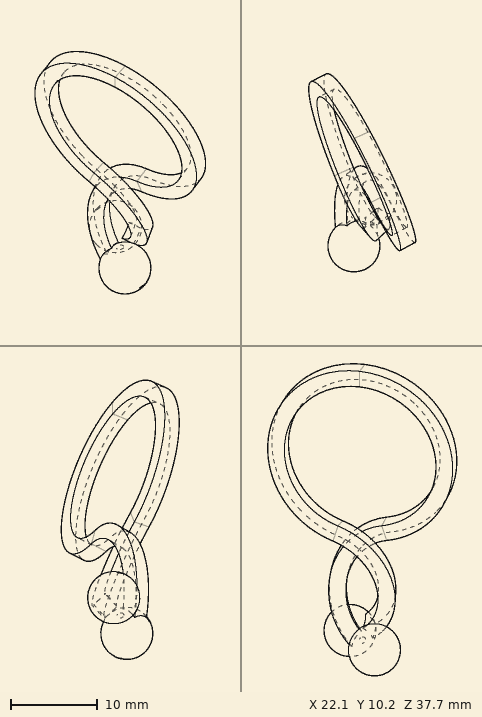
import cadquery as cq
import math

OVERALL_HEIGHT = 37.65
OVERALL_DEPTH = 10.15

WIRE = 2.0
RING_RADIUS = 9.98
RING_SWEEP = math.radians(165)
RING_OFFSET = 1.13

TAIL_RADIUS = 7.5
TAIL_SWEEP = math.radians(135)
TAIL_END_Y = -2.1
SWING_ANGLE = math.radians(110)

BALL_RADIUS = 3.0
BALL_X = 2.15
BALL_Y = BALL_RADIUS - OVERALL_DEPTH / 2
BALL_Z = RING_RADIUS + WIRE / 2 + BALL_RADIUS - OVERALL_HEIGHT

PATH_STEPS = 12

RING_LENGTH = RING_RADIUS * RING_SWEEP
RING_SLOPE = RING_OFFSET / RING_LENGTH
TAIL_LENGTH = TAIL_RADIUS * TAIL_SWEEP
TAIL_DRIFT = RING_SLOPE * TAIL_LENGTH
SWING_HEIGHT = (TAIL_END_Y - RING_OFFSET - TAIL_DRIFT) / (1 - math.cos(SWING_ANGLE))


def ring_point(t):
    """Point on the helical half ring, t = 0 at the top and 1 at the joint."""
    angle = RING_SWEEP * t
    return cq.Vector(RING_RADIUS * math.sin(angle), RING_OFFSET * t, RING_RADIUS * math.cos(angle))


def tail_point(t):
    """Point on the tail, t = 0 at the joint; Y starts with the ring slope, then swings back."""
    centre_distance = RING_RADIUS + TAIL_RADIUS
    angle = RING_SWEEP - TAIL_SWEEP * t
    x = centre_distance * math.sin(RING_SWEEP) - TAIL_RADIUS * math.sin(angle)
    y = RING_OFFSET + TAIL_DRIFT * t + SWING_HEIGHT * (1 - math.cos(SWING_ANGLE * t))
    z = centre_distance * math.cos(RING_SWEEP) - TAIL_RADIUS * math.cos(angle)
    return cq.Vector(x, y, z)


def travel_rate(angle, length, y_rate):
    """Rate of travel along the path where the XZ heading has turned by angle from +X."""
    return cq.Vector(length * math.cos(angle), y_rate, -length * math.sin(angle))


def smooth_edge(point, start_rate, end_rate):
    """Edge through point(t) for t from 0 to 1, leaving and arriving at the given rates."""
    steps = [i / PATH_STEPS for i in range(PATH_STEPS + 1)]
    return cq.Edge.makeSpline(
        [point(t) for t in steps],
        tangents=[start_rate, end_rate],
        parameters=steps,
        scale=False,
    )


def half_wire():
    """Square wire swept along one half ring and its tail."""
    ring = smooth_edge(
        ring_point,
        travel_rate(0, RING_LENGTH, RING_OFFSET),
        travel_rate(RING_SWEEP, RING_LENGTH, RING_OFFSET),
    )
    end_y_rate = TAIL_DRIFT + SWING_HEIGHT * SWING_ANGLE * math.sin(SWING_ANGLE)
    tail = smooth_edge(
        tail_point,
        travel_rate(RING_SWEEP, TAIL_LENGTH, TAIL_DRIFT),
        travel_rate(RING_SWEEP - TAIL_SWEEP, TAIL_LENGTH, end_y_rate),
    )
    path = cq.Wire.assembleEdges([ring, tail])
    section = cq.Workplane("YZ").center(0, RING_RADIUS).rect(WIRE, WIRE)
    return section.sweep(cq.Workplane(path))


def ball(x, y, z):
    """Ball centred at the given point."""
    return cq.Workplane("XY").sphere(BALL_RADIUS).translate((x, y, z))


half = half_wire().union(ball(BALL_X, BALL_Y, BALL_Z))
result = half.union(half.rotate((0, 0, 0), (0, 0, 1), 180))